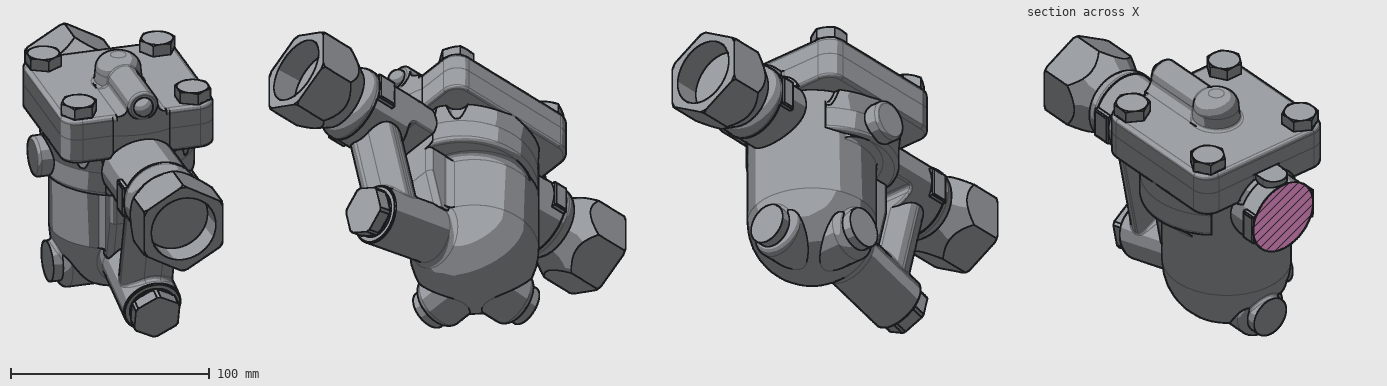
import cadquery as cq
import math


LENGTH = 203.0
LEFT_END = -91.95
PIPE_MID_X = LEFT_END + LENGTH / 2
PIPE_R = 38.0 / 2
NUT_FLATS = 41.3
NUT_CORNER_R = NUT_FLATS / math.sqrt(3)
NUT_END_CHAMFER = 1.0
NUT_LENGTH = 31.0
NUT_CONE_ANGLE = 30.0
NECK_R = 16.5
BEAD_R = 19.5
BEAD_WIDTH = 7.8
BEAD_ROUND = 7.5
SOCKET_R = 34.0 / 2
SOCKET_DEPTH = 14.0
PAD_REACH = 20.0
PAD_HEIGHT = 16.0
PAD_EDGE = 0.7
INLET_PAD_LENGTH = 7.9
OUTLET_PAD_LENGTH = 10.2
LUG_TOP = 22.0
LUG_WIDTH = 14.0
LUG_TIP_X = -52.3
RING_WIDTH = 2.3
RING_STEP = 1.5

COVER_LENGTH = 79.4
COVER_WIDTH = 80.0
COVER_CORNER_R = 9.0
COVER_TOP = 32.5
COVER_TOP_ROUND = 2.2
JOINT_Z = 22.0
FLANGE_BOTTOM = 8.7
FLANGE_ROUND = 1.6
BULGE_X = 42.7
BULGE_HALF_WIDTH = 15.0
BOLT_PITCH = 60.0
BOLT_FLATS = 16.0
BOLT_HEAD = 6.3
BOLT_CHAMFER = 0.5
BOLT_TURN = {(-1, 1): 30.0, (1, 1): 0.0, (-1, -1): 0.0, (1, -1): 30.0}
RELIEF_TOP_R = 6.7
RELIEF_BOTTOM_R = 4.0
RELIEF_BOTTOM = 0.0

CAP_TOP = 47.35
CAP_R = 23.0 / 2
CAP_BASE_R = 24.2 / 2
CAP_FLAT_R = 4.0
CAP_SHOULDER_Z = 39.2
CAP_TAPER_END_Z = 34.0
CAP_FOOT_R = 14.0
DUCT_R = 8.0
DUCT_Z = 37.2
DUCT_FOOT_HALF_WIDTH = 13.0
DUCT_END_ROUND = 1.5
DUCT_FILLET = 1.5
NUB_R = 10.0 / 2

BODY_X = -8.3
BODY_R = 32.5
DOME_Z = -49.23
COLLAR_R = 38.4
COLLAR_TOP_R = 40.0
COLLAR_TAPER_Z = -1.2
COLLAR_BOTTOM = -14.2
COLLAR_ROUND = 2.4
COLLAR_BLEND = 3.2
COLLAR_X_MIN = -28.0
COLLAR_X_MAX = 34.4

BRANCH_ANGLE = 15.0
BRANCH_SLOPE = math.radians(BRANCH_ANGLE)
BRANCH_TAN = math.tan(BRANCH_SLOPE)
BRANCH_R = 30.0 / 2
BRANCH_END = 69.0
BRANCH_CHAMFER = 0.6
BRANCH_FILLET = 4.2
GASKET_R = 12.0
GASKET_THICKNESS = 1.3
PLUG_FLATS = 23.0
PLUG_CORNERS = 25.4
PLUG_LENGTH = 6.7

RISER_HALF_WIDTH = 9.8
RISER_HALF_DEPTH = 13.5
RISER_DISTANCE = 54.8
RISER_CORNER_R = 9.0
RISER_FOOT_FILLET = 2.0

RIB_HALF_WIDTH = 14.2
RIB_FILLET = 5.0
RIB_EDGE_R = 2.8
RIB_KNEE_Z = -30.0
RIB_FOOT_Z = -52.0

WINDOW_TOP = -7.6
WINDOW_CORNER_R = 2.5
WINDOW_EDGE_R = 1.2

DRAIN_Z = -66.5
DRAIN_BOSS_R = 14.2
DRAIN_BOSS_END = 29.4
DRAIN_BOSS_ROUND = 3.65
DRAIN_PLUG_R = 21.0 / 2
DRAIN_PLUG_END = 34.6
DRAIN_PLUG_FILLET = 1.5
FRONT_BOSS_Z = -3.2
FRONT_BOSS_R = 21.0 / 2
FRONT_BOSS_Y = -45.0
FRONT_BOSS_ROUND = 1.6


def x_cylinder(radius, x_start, x_end, z=0.0):
    return cq.Workplane("YZ", origin=(x_start, 0, z)).circle(radius).extrude(x_end - x_start)


def z_cylinder(radius, z_start, z_end, x=0.0, y=0.0):
    return cq.Workplane("XY", origin=(x, y, z_start)).circle(radius).extrude(z_end - z_start)


def block(x_start, x_end, y_start, y_end, z_start, z_end):
    size = (x_end - x_start, y_end - y_start, z_end - z_start)
    return cq.Workplane("XY").box(*size, centered=False).translate((x_start, y_start, z_start))


def hexagon(plane, flats, length):
    """Hexagonal bar whose corners lie on the plane's local X axis."""
    return plane.polygon(6, 2 * flats / math.sqrt(3)).extrude(length)


def pipe_end():
    """Left nut, neck cone and bead; the right end is its mirror image."""
    plane = cq.Workplane("YZ", origin=(LEFT_END, 0, 0)).transformed(rotate=(0, 0, 90))
    nut = hexagon(plane, NUT_FLATS, NUT_LENGTH)
    bead_x = LEFT_END + NUT_LENGTH
    cone_length = (NUT_CORNER_R - NECK_R) / math.tan(math.radians(NUT_CONE_ANGLE))
    envelope = (
        cq.Workplane("XZ")
        .moveTo(LEFT_END, 0)
        .lineTo(LEFT_END, NUT_CORNER_R - NUT_END_CHAMFER)
        .lineTo(LEFT_END + NUT_END_CHAMFER, NUT_CORNER_R)
        .lineTo(bead_x - cone_length, NUT_CORNER_R)
        .lineTo(bead_x, NECK_R)
        .lineTo(bead_x, 0)
        .close()
        .revolve(360, (0, 0, 0), (1, 0, 0))
    )
    round_centre_r = BEAD_R - BEAD_ROUND
    overlap = BEAD_ROUND - math.sqrt(BEAD_ROUND ** 2 - (NECK_R - round_centre_r) ** 2)
    bead = x_cylinder(BEAD_R, bead_x - overlap, bead_x + BEAD_WIDTH)
    bead = bead.faces("<X").edges().fillet(BEAD_ROUND)
    socket = x_cylinder(SOCKET_R, LEFT_END, LEFT_END + SOCKET_DEPTH)
    return nut.intersect(envelope).cut(socket).union(bead)


def pipe_pad(x_start, x_end):
    pad = block(x_start, x_end, -PAD_REACH, PAD_REACH, -PAD_HEIGHT / 2, PAD_HEIGHT / 2)
    return pad.faces("<Y or >Y").edges().chamfer(PAD_EDGE)


def inlet_lug():
    tip_r = LUG_WIDTH / 2
    stem_x = LUG_TIP_X + tip_r
    lug = z_cylinder(tip_r, 0, LUG_TOP, stem_x)
    return lug.union(block(stem_x, -COVER_LENGTH / 2, -tip_r, tip_r, 0, LUG_TOP))


def inlet_ring():
    """Raised ring where the inlet pipe meets the flange wall."""
    wall_x = -COVER_LENGTH / 2
    ring = (
        cq.Workplane("XZ")
        .moveTo(wall_x - RING_WIDTH, 0)
        .lineTo(wall_x - RING_WIDTH, PIPE_R)
        .lineTo(wall_x, PIPE_R + RING_STEP)
        .lineTo(wall_x, 0)
        .close()
        .revolve(360, (0, 0, 0), (1, 0, 0))
    )
    return ring.intersect(block(wall_x - RING_WIDTH, wall_x, -BEAD_R, BEAD_R, FLANGE_BOTTOM, LUG_TOP))


def opening():
    """Cutter that lifts the underside of the outlet pipe between body and riser."""
    riser_left_x = riser_axis_x(WINDOW_TOP) - RISER_HALF_WIDTH / math.cos(BRANCH_SLOPE)
    depth = BEAD_R
    return (
        cq.Workplane("XZ")
        .moveTo(BODY_X, WINDOW_TOP)
        .lineTo(riser_left_x, WINDOW_TOP)
        .lineTo(riser_left_x - depth * BRANCH_TAN, WINDOW_TOP - depth)
        .lineTo(BODY_X, WINDOW_TOP - depth)
        .close()
        .extrude(BEAD_R, both=True)
        .edges("|Y and >Z and >X")
        .fillet(WINDOW_CORNER_R)
    )


def pipe_run():
    left_end = pipe_end()
    right_end = left_end.mirror("YZ", (PIPE_MID_X, 0, 0))
    pipe_left = LEFT_END + NUT_LENGTH + BEAD_WIDTH
    pipe_right = 2 * PIPE_MID_X - pipe_left
    pipe = x_cylinder(PIPE_R, pipe_left, pipe_right).cut(opening())
    pipe = pipe.edges("|X").edges("<Z").fillet(WINDOW_EDGE_R)
    pipe = pipe.union(pipe_pad(pipe_left, pipe_left + INLET_PAD_LENGTH))
    pipe = pipe.union(pipe_pad(pipe_right - OUTLET_PAD_LENGTH, pipe_right))
    return pipe.union(inlet_lug()).union(inlet_ring()).union(left_end).union(right_end)


def cover_plate(z_start, z_end):
    """Rounded square slab with a shallow bulge on its outlet side."""
    height = z_end - z_start
    base = cq.Workplane("XY", origin=(0, 0, z_start))
    slab = base.rect(COVER_LENGTH, COVER_WIDTH).extrude(height).edges("|Z").fillet(COVER_CORNER_R)
    side_x = COVER_LENGTH / 2
    bulge = (
        base.moveTo(0, -BULGE_HALF_WIDTH)
        .lineTo(side_x, -BULGE_HALF_WIDTH)
        .threePointArc((BULGE_X, 0), (side_x, BULGE_HALF_WIDTH))
        .lineTo(0, BULGE_HALF_WIDTH)
        .close()
        .extrude(height)
    )
    return slab.union(bulge)


def bolt_heads():
    heads = cq.Workplane("XY")
    corner_r = BOLT_FLATS / math.sqrt(3)
    for (side_x, side_y), turn in BOLT_TURN.items():
        spot = (side_x * BOLT_PITCH / 2, side_y * BOLT_PITCH / 2, COVER_TOP)
        plane = cq.Workplane("XY", origin=spot).transformed(rotate=(0, 0, turn))
        rounding = z_cylinder(corner_r, COVER_TOP, COVER_TOP + BOLT_HEAD, spot[0], spot[1])
        rounding = rounding.faces(">Z").chamfer(BOLT_CHAMFER, corner_r - BOLT_FLATS / 2)
        heads = heads.union(hexagon(plane, BOLT_FLATS, BOLT_HEAD).intersect(rounding))
    return heads


def cap():
    dome_mid = math.sqrt(0.5)
    dome_rise = CAP_TOP - CAP_SHOULDER_Z
    dome_run = CAP_R - CAP_FLAT_R
    return (
        cq.Workplane("XZ")
        .moveTo(0, JOINT_Z)
        .lineTo(CAP_FOOT_R, JOINT_Z)
        .lineTo(CAP_FOOT_R, COVER_TOP)
        .threePointArc(
            (CAP_FOOT_R - (CAP_FOOT_R - CAP_BASE_R) * dome_mid,
             CAP_TAPER_END_Z - (CAP_TAPER_END_Z - COVER_TOP) * dome_mid),
            (CAP_BASE_R, CAP_TAPER_END_Z),
        )
        .lineTo(CAP_R, CAP_SHOULDER_Z)
        .threePointArc(
            (CAP_FLAT_R + dome_run * dome_mid, CAP_SHOULDER_Z + dome_rise * dome_mid),
            (CAP_FLAT_R, CAP_TOP),
        )
        .lineTo(0, CAP_TOP)
        .close()
        .revolve(360, (0, 0, 0), (0, 1, 0))
    )


def duct():
    """Round duct along +X with a filleted foot on the cover and a nub at its end."""
    foot = DUCT_FOOT_HALF_WIDTH
    fillet_x = foot - DUCT_R
    fillet_z = DUCT_Z - COVER_TOP
    bend = 1 - math.sqrt(0.5)
    profile = (
        cq.Workplane("YZ")
        .moveTo(-foot, JOINT_Z)
        .lineTo(-foot, COVER_TOP)
        .threePointArc((-DUCT_R - bend * fillet_x, COVER_TOP + bend * fillet_z), (-DUCT_R, DUCT_Z))
        .threePointArc((0, DUCT_Z + DUCT_R), (DUCT_R, DUCT_Z))
        .threePointArc((DUCT_R + bend * fillet_x, COVER_TOP + bend * fillet_z), (foot, COVER_TOP))
        .lineTo(foot, JOINT_Z)
        .close()
        .extrude(BULGE_X)
    )
    duct_top = DUCT_Z + DUCT_R
    foot_part = profile.intersect(cover_plate(JOINT_Z, duct_top))
    rounded_top = x_cylinder(DUCT_R, 0, BULGE_X, DUCT_Z).faces(">X").edges().fillet(DUCT_END_ROUND)
    upper = block(0, BULGE_X, -foot, foot, DUCT_Z, duct_top)
    nub = cq.Workplane("XY", origin=(BULGE_X, 0, DUCT_Z)).sphere(NUB_R)
    return foot_part.cut(upper).union(rounded_top).union(nub)


def cover():
    top = cover_plate(JOINT_Z, COVER_TOP).faces(">Z").edges().fillet(COVER_TOP_ROUND)
    near_cap = cq.selectors.BoxSelector(
        (0, -CAP_FLAT_R - DUCT_R, COVER_TOP), (CAP_FOOT_R, CAP_FLAT_R + DUCT_R, CAP_TOP)
    )
    vent = cap().union(duct()).edges("%BSPLINE").edges(near_cap).fillet(DUCT_FILLET)
    return top.union(bolt_heads()).union(vent)


def flange():
    return cover_plate(FLANGE_BOTTOM, JOINT_Z).faces("<Z").edges().fillet(FLANGE_ROUND)


def bolt_relief(x, y):
    """Cutter in the shape of a cone that widens towards the flange."""
    floor = cq.Workplane("XY", origin=(x, y, RELIEF_BOTTOM)).circle(RELIEF_BOTTOM_R)
    height = FLANGE_BOTTOM + FLANGE_ROUND - RELIEF_BOTTOM
    return floor.workplane(offset=height).circle(RELIEF_TOP_R).loft()


def body_collar():
    """Wide band below the flange, flat on its two X sides, with conical reliefs below the bolts."""
    band = (
        cq.Workplane("XZ")
        .moveTo(0, COLLAR_BOTTOM)
        .lineTo(COLLAR_R, COLLAR_BOTTOM)
        .lineTo(COLLAR_R, COLLAR_TAPER_Z)
        .lineTo(COLLAR_TOP_R, FLANGE_BOTTOM + FLANGE_ROUND)
        .lineTo(0, FLANGE_BOTTOM + FLANGE_ROUND)
        .close()
        .revolve(360, (0, 0, 0), (0, 1, 0))
        .faces("<Z").edges().fillet(COLLAR_ROUND)
    )
    limits = block(COLLAR_X_MIN, COLLAR_X_MAX, -COVER_WIDTH / 2, COVER_WIDTH / 2, COLLAR_BOTTOM, JOINT_Z)
    band = band.intersect(limits)
    for side_x, side_y in BOLT_TURN:
        spot = (side_x * BOLT_PITCH / 2, side_y * BOLT_PITCH / 2)
        band = band.cut(bolt_relief(*spot))
    return band


def collar_blend():
    """Concave fillet between the underside of the collar and the barrel."""
    bend = COLLAR_BLEND * (1 - math.sqrt(0.5))
    ring = (
        cq.Workplane("XZ", origin=(BODY_X, 0, COLLAR_BOTTOM))
        .lineTo(0, -COLLAR_BLEND)
        .lineTo(BODY_R, -COLLAR_BLEND)
        .threePointArc((BODY_R + bend, -bend), (BODY_R + COLLAR_BLEND, 0))
        .close()
        .revolve(360, (0, 0, 0), (0, 1, 0))
    )
    underside = z_cylinder(COLLAR_R - COLLAR_ROUND, COLLAR_BOTTOM - COLLAR_BLEND, COLLAR_BOTTOM)
    return ring.intersect(underside)


def dome():
    return cq.Workplane("XY", origin=(BODY_X, 0, DOME_Z)).sphere(BODY_R)


def body():
    barrel = z_cylinder(BODY_R, DOME_Z, JOINT_Z, BODY_X)
    return barrel.union(dome())


def branch_point(along):
    """World X and Z of a point on the branch axis."""
    return BODY_X + along * math.cos(BRANCH_SLOPE), DOME_Z - along * math.sin(BRANCH_SLOPE)


def riser_axis_x(z):
    foot_x, foot_z = branch_point(RISER_DISTANCE)
    return foot_x + (z - foot_z) * BRANCH_TAN


def placed_on_branch(shape):
    """Move a shape built along +X from the origin onto the branch axis."""
    return shape.rotate((0, 0, 0), (0, 1, 0), BRANCH_ANGLE).translate((BODY_X, 0, DOME_Z))


def branch():
    tube = x_cylinder(BRANCH_R, 0, BRANCH_END).faces(">X").edges().chamfer(BRANCH_CHAMFER)
    ring_r = BRANCH_R + BRANCH_FILLET
    ring_x = math.sqrt((BODY_R + BRANCH_FILLET) ** 2 - ring_r ** 2)
    touch = BODY_R / (BODY_R + BRANCH_FILLET)
    dome_angle = math.atan2(-ring_r, -ring_x)
    tube_angle = -math.pi / 2
    mid_angle = (dome_angle + tube_angle) / 2
    blend = (
        cq.Workplane("XY")
        .moveTo(0, 0)
        .lineTo(ring_x * touch, ring_r * touch)
        .threePointArc(
            (ring_x + BRANCH_FILLET * math.cos(mid_angle), ring_r + BRANCH_FILLET * math.sin(mid_angle)),
            (ring_x, BRANCH_R),
        )
        .lineTo(ring_x, 0)
        .close()
        .revolve(360, (0, 0, 0), (1, 0, 0))
    )
    gasket_end = BRANCH_END + GASKET_THICKNESS
    gasket = x_cylinder(GASKET_R, BRANCH_END, gasket_end)
    plane = cq.Workplane("YZ", origin=(gasket_end, 0, 0))
    plug = hexagon(plane.transformed(rotate=(0, 0, 90)), PLUG_FLATS, PLUG_LENGTH)
    plug = plug.intersect(hexagon(plane, PLUG_CORNERS, PLUG_LENGTH))
    return placed_on_branch(tube.union(blend).union(gasket).union(plug))


def riser():
    """Slanted bar of rounded rectangular section, square to the branch."""
    top_x = riser_axis_x(0)
    foot_x, foot_z = branch_point(RISER_DISTANCE)
    length = math.hypot(top_x - foot_x, foot_z)
    bar = (
        cq.Workplane("XY", origin=(RISER_DISTANCE, 0, 0))
        .rect(2 * RISER_HALF_WIDTH, 2 * RISER_HALF_DEPTH)
        .extrude(length)
        .edges("|Z")
        .fillet(RISER_CORNER_R)
    )
    return placed_on_branch(bar)


def branch_with_riser():
    joined = branch().union(riser())
    return joined.edges("%BSPLINE").fillet(RISER_FOOT_FILLET)


def rib():
    """Wall joining the body to the branch, blended into the barrel by concave fillets."""
    foot_x = COLLAR_X_MAX - (RIB_KNEE_Z - RIB_FOOT_Z) * BRANCH_TAN
    outward = cq.Vector(1, 0, 0)
    slant = cq.Vector(math.cos(BRANCH_SLOPE), 0, -math.sin(BRANCH_SLOPE))
    wall = (
        cq.Workplane("XZ")
        .moveTo(BODY_X, COLLAR_TAPER_Z)
        .lineTo(COLLAR_X_MAX, COLLAR_TAPER_Z)
        .lineTo(COLLAR_X_MAX, RIB_KNEE_Z)
        .lineTo(foot_x, RIB_FOOT_Z)
        .lineTo(BODY_X, RIB_FOOT_Z)
        .close()
        .extrude(RIB_HALF_WIDTH, both=True)
        .faces(cq.selectors.DirectionMinMaxSelector(slant) + cq.selectors.DirectionMinMaxSelector(outward))
        .edges("not |Y")
        .fillet(RIB_EDGE_R)
    )
    centre_y = RIB_HALF_WIDTH + RIB_FILLET
    centre_dx = math.sqrt((BODY_R + RIB_FILLET) ** 2 - centre_y ** 2)
    touch = BODY_R / (BODY_R + RIB_FILLET)
    web = (
        cq.Workplane("XY", origin=(0, 0, DOME_Z))
        .moveTo(BODY_X, -centre_y * touch)
        .lineTo(BODY_X + centre_dx * touch, -centre_y * touch)
        .lineTo(BODY_X + centre_dx, -centre_y * touch)
        .lineTo(BODY_X + centre_dx, centre_y * touch)
        .lineTo(BODY_X, centre_y * touch)
        .close()
        .extrude(COLLAR_TAPER_Z - DOME_Z)
    )
    for side in (-1, 1):
        web = web.cut(
            z_cylinder(RIB_FILLET, DOME_Z, COLLAR_TAPER_Z, BODY_X + centre_dx, side * centre_y)
        )
    return wall.union(web)


def drain_boss():
    """Rounded boss around a drain plug, facing -Y, with the plug blended into the dome."""
    outward = cq.Workplane("XZ", origin=(BODY_X, 0, DRAIN_Z))
    boss = outward.circle(DRAIN_BOSS_R).extrude(DRAIN_BOSS_END)
    boss = boss.faces("<Y").edges().fillet(DRAIN_BOSS_ROUND)
    plug = outward.circle(DRAIN_PLUG_R).extrude(DRAIN_PLUG_END)
    blended = dome().union(plug).edges("%BSPLINE").fillet(DRAIN_PLUG_FILLET)
    return blended.union(boss)


def drain_bosses():
    """One drain faces -Y, the other -X."""
    facing_front = drain_boss()
    facing_left = facing_front.rotate((BODY_X, 0, 0), (BODY_X, 0, 1), -90)
    return facing_front.union(facing_left)


def front_boss():
    boss = cq.Workplane("XZ", origin=(0, 0, FRONT_BOSS_Z)).circle(FRONT_BOSS_R).extrude(-FRONT_BOSS_Y)
    return boss.faces("<Y").edges().fillet(FRONT_BOSS_ROUND)


result = body()
for feature in (
    rib(),
    branch_with_riser(),
    body_collar(),
    collar_blend(),
    drain_bosses(),
    front_boss(),
    pipe_run(),
    flange(),
):
    result = result.union(feature)
result = result.union(cover(), clean=False)